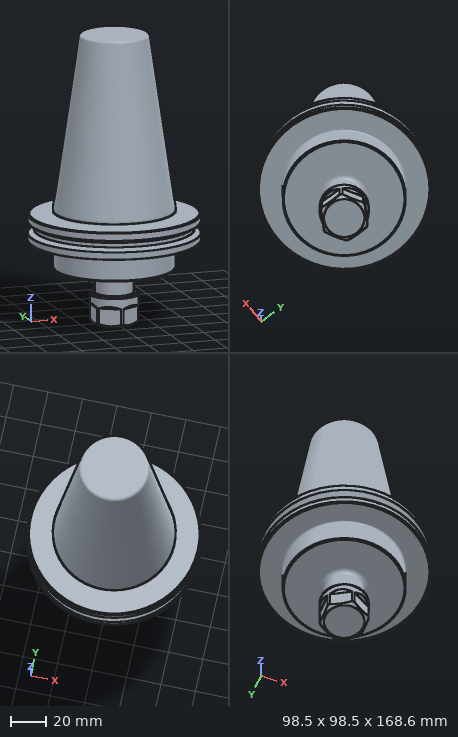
import cadquery as cq
import math

TOTAL_HEIGHT = 168.6
FLANGE_RADIUS = 98.5 / 2
GROOVE_RADIUS = 91.2 / 2
GAUGE_RADIUS = 34.9
NECK_RADIUS = 11.1
NUT_RADIUS = 14.0

TAPER_LENGTH = 101.7
TAPER_SLOPE = 7 / 48
TIP_FILLET = 2.0

GAUGE_TO_FLANGE = 3.2
FLANGE_THICKNESS = 15.8
FLANGE_CHAMFER_HEIGHT = 0.3
FLANGE_CHAMFER_WIDTH = 0.8
GROOVE_WIDTH = 6.7
GROOVE_FLANK_ANGLE = math.radians(30)
BOSS_FILLET = 1.0
RELIEF_DEPTH = 0.2
RELIEF_HEIGHT = 1.7
RELIEF_FILLET = 0.7

BOSS_BOTTOM = 31.9
BOSS_CHAMFER = 0.7
NECK_FILLET = 3.0
NUT_TOP = 17.9
NUT_TOP_CHAMFER = 1.0
NUT_FACE_RADIUS = 11.5
NUT_FACE_ANGLE = math.radians(30)
HEX_ACROSS_FLATS = 25.0
HEX_SIDES = 6
FLAT_TOP = 10.6

gauge_z = TOTAL_HEIGHT - TAPER_LENGTH
flange_top = gauge_z - GAUGE_TO_FLANGE
flange_bottom = flange_top - FLANGE_THICKNESS
flange_middle = (flange_top + flange_bottom) / 2
tip_radius = GAUGE_RADIUS - TAPER_LENGTH * TAPER_SLOPE


def cylinder(radius, bottom, top):
    return cq.Workplane("XY").workplane(offset=bottom).circle(radius).extrude(top - bottom)


def make_taper():
    """Tapered shank with a rounded tip and a shallow relief that curves into the flange."""
    relief_radius = GAUGE_RADIUS - RELIEF_DEPTH
    relief_top = flange_top + RELIEF_HEIGHT
    bend = RELIEF_FILLET * (1 - math.sqrt(0.5))
    shank = (cq.Workplane("XZ").moveTo(0, flange_top).lineTo(relief_radius + RELIEF_FILLET, flange_top)
             .threePointArc((relief_radius + bend, flange_top + bend),
                            (relief_radius, flange_top + RELIEF_FILLET))
             .lineTo(relief_radius, relief_top - RELIEF_DEPTH)
             .lineTo(GAUGE_RADIUS, relief_top)
             .lineTo(GAUGE_RADIUS, gauge_z)
             .lineTo(tip_radius, TOTAL_HEIGHT)
             .lineTo(0, TOTAL_HEIGHT).close()
             .revolve(360, (0, 0), (0, 1)))
    return shank.faces(">Z").edges().fillet(TIP_FILLET)


def make_flange():
    """Chamfered disc with a V-groove around its rim."""
    face_radius = FLANGE_RADIUS - FLANGE_CHAMFER_WIDTH
    rim_top = flange_top - FLANGE_CHAMFER_HEIGHT
    rim_bottom = flange_bottom + FLANGE_CHAMFER_HEIGHT
    disc_profile = [(0, flange_bottom), (face_radius, flange_bottom), (FLANGE_RADIUS, rim_bottom),
                    (FLANGE_RADIUS, rim_top), (face_radius, flange_top), (0, flange_top)]
    disc = cq.Workplane("XZ").polyline(disc_profile).close().revolve(360, (0, 0), (0, 1))
    outer_half = GROOVE_WIDTH / 2
    floor_half = outer_half - (FLANGE_RADIUS - GROOVE_RADIUS) * math.tan(GROOVE_FLANK_ANGLE)
    profile = [(FLANGE_RADIUS, flange_middle - outer_half), (GROOVE_RADIUS, flange_middle - floor_half),
               (GROOVE_RADIUS, flange_middle + floor_half), (FLANGE_RADIUS, flange_middle + outer_half)]
    groove = cq.Workplane("XZ").polyline(profile).close().revolve(360, (0, 0), (0, 1))
    return disc.cut(groove)


def root_fillet(radius, shoulder_z, size):
    """Ring with a concave quarter-round, filling the corner below a shoulder."""
    bend = size * (1 - math.sqrt(0.5))
    return (cq.Workplane("XZ").moveTo(radius, shoulder_z - size)
            .threePointArc((radius + bend, shoulder_z - bend), (radius + size, shoulder_z))
            .lineTo(0, shoulder_z).lineTo(0, shoulder_z - size).close()
            .revolve(360, (0, 0), (0, 1)))


def make_nut():
    """Round collar with six flats below it and a conical lead-in at its face."""
    face_chamfer = (NUT_RADIUS - NUT_FACE_RADIUS) * math.tan(NUT_FACE_ANGLE)
    profile = [(0, 0), (NUT_FACE_RADIUS, 0), (NUT_RADIUS, face_chamfer),
               (NUT_RADIUS, NUT_TOP - NUT_TOP_CHAMFER), (NUT_RADIUS - NUT_TOP_CHAMFER, NUT_TOP), (0, NUT_TOP)]
    nut = cq.Workplane("XZ").polyline(profile).close().revolve(360, (0, 0), (0, 1))

    apothem = HEX_ACROSS_FLATS / 2
    slope_run = NUT_RADIUS - apothem
    cutter = (cq.Workplane("XZ")
              .polyline([(apothem, 0), (NUT_RADIUS, 0), (NUT_RADIUS, FLAT_TOP + slope_run), (apothem, FLAT_TOP)])
              .close().extrude(NUT_RADIUS, both=True))
    for side in range(HEX_SIDES):
        nut = nut.cut(cutter.rotate((0, 0, 0), (0, 0, 1), side * 360 / HEX_SIDES))
    return nut


boss = cylinder(GAUGE_RADIUS, BOSS_BOTTOM, flange_bottom).faces("<Z").edges().chamfer(BOSS_CHAMFER)
neck = cylinder(NECK_RADIUS, NUT_TOP, BOSS_BOTTOM)

result = (make_flange()
          .union(make_taper())
          .union(boss)
          .union(root_fillet(GAUGE_RADIUS, flange_bottom, BOSS_FILLET))
          .union(neck)
          .union(root_fillet(NECK_RADIUS, BOSS_BOTTOM, NECK_FILLET))
          .union(make_nut()))